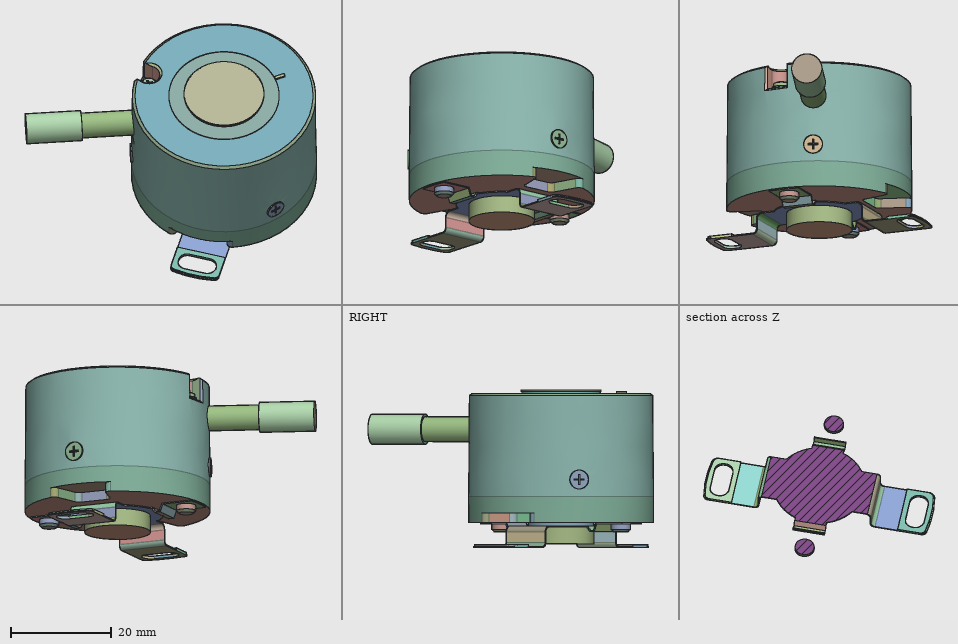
import cadquery as cq
import math

BODY_BOTTOM = 4.95
SEAM_Z = 10.15
SIDE_SCREW_Z = 13.55
CABLE_Z = 23.6
BODY_TOP = 30.7
TOTAL_HEIGHT = 31.4

BASE_RADIUS = 18.45
TOP_RADIUS = 18.3
RIM_BEVEL_WIDTH = 0.55
RIM_BEVEL_HEIGHT = 0.4
RECESS_RADIUS = 11.0
RECESS_DEPTH = 0.1
SHAFT_RADIUS = 8
SHAFT_NECK_RADIUS = 7.8
SHAFT_LIP = 0.35
MARK_LENGTH = 2.05
MARK_WIDTH = 0.6
MARK_HEIGHT = 0.35

CABLE_ANGLE = 251.8
CABLE_RADIUS = 2.5
SLEEVE_RADIUS = 3.0
SLEEVE_START = 28.5
CABLE_END = 39.55

SIDE_SCREW_ANGLES = (11.2, 139.5, 251.6)
SIDE_SCREW_RADIUS = 1.9
SIDE_SCREW_FACE = 18.7
SIDE_SCREW_DEPTH = 1.7
SIDE_CROSS_LENGTH = 2.0
CROSS_WIDTH = 0.3
CROSS_DEPTH = 0.3

POCKET_ANGLE = 227.2
POCKET_DISTANCE = 15.95
POCKET_RADIUS = 2.15
POCKET_BEVEL = 0.45
POCKET_FLOOR = 26.0
WASHER_RADIUS = 1.9
WASHER_HEIGHT = 0.35
CLAMP_HEAD_RADIUS = 1.6
CLAMP_HEAD_SIDE = 0.75
CLAMP_DOME_RISE = 0.45
CLAMP_CROSS_LENGTH = 1.6

FOOT_ANGLES = (142, 322)
TAB_ANGLES = (52, 232)
SHEET = 0.2
FOOT_HALF_WIDTH = 4.95
WALL_FACE = 11.5
PLATE_TOP = 4.35
PLATE_RADIUS = 9.1
TOP_BEND = 1.25
FOOT_BEND = 1.0
FOOT_END = 23.0
FOOT_CORNER = 0.95
EAR_START = 16.85
EAR_HEIGHT = 0.55
EAR_INSET = 0.3
EAR_SLOT_START = 17.95
EAR_SLOT_END = 21.7
EAR_SLOT_WIDTH = 7.75
EAR_SLOT_CORNER = 1.75
TAB_END = 18.1
TAB_HALF_WIDTH = 3.2
BEAD_INNER = 9.2
BEAD_FLOOR_INNER = 10.0
BEAD_FLOOR_OUTER = 10.65
BEAD_OUTER = 11.3
BEAD_BOTTOM = 3.2
TAB_SCREW_DISTANCE = 15.1
TAB_SCREW_RADIUS = 1.95
TAB_SCREW_BOTTOM = 3.15
TAB_SCREW_BEVEL = 0.5
HUB_RADIUS = 6.55
HUB_BOTTOM = 0.75

NOTCH_BACK = 10.8
NOTCH_BACK_HALF_WIDTH = 3.65
NOTCH_TAPER = 15.4
NOTCH_HEIGHT = 1.95
NOTCH_CORNER = 1.2
NOTCH_LIP = 1.0


def turned(shape, angle):
    """Rotate a shape built along +X to its place around the main axis."""
    return shape.rotate((0, 0, 0), (0, 0, 1), angle)


def disc(radius, bottom, top):
    return cq.Workplane("XY").workplane(offset=bottom).circle(radius).extrude(top - bottom)


def block(x_start, x_end, width, bottom, top):
    """Box along +X, centred on the X axis."""
    return cq.Workplane("XY").box(
        x_end - x_start, width, top - bottom, centered=(False, True, False)
    ).translate((x_start, 0, bottom))


def radial_rod(radius, start, end, height):
    """Cylinder along +X at a given height."""
    return cq.Workplane("YZ").workplane(offset=start).center(0, height).circle(radius).extrude(end - start)


def housing():
    outline = [
        (0, BODY_BOTTOM),
        (BASE_RADIUS, BODY_BOTTOM),
        (BASE_RADIUS, SEAM_Z),
        (TOP_RADIUS, BODY_TOP - RIM_BEVEL_HEIGHT),
        (TOP_RADIUS - RIM_BEVEL_WIDTH, BODY_TOP),
        (0, BODY_TOP),
    ]
    return cq.Workplane("XZ").polyline(outline).close().revolve(360, (0, 0), (0, 1))


def shaft_end():
    lip_bottom = TOTAL_HEIGHT - SHAFT_LIP
    neck = disc(SHAFT_NECK_RADIUS, BODY_TOP - RECESS_DEPTH, lip_bottom)
    return neck.union(disc(SHAFT_RADIUS, lip_bottom, TOTAL_HEIGHT))


def index_mark():
    mark_end = RECESS_RADIUS + MARK_LENGTH
    mark = block(RECESS_RADIUS, mark_end, MARK_WIDTH, BODY_TOP - RECESS_DEPTH, BODY_TOP + MARK_HEIGHT)
    return turned(mark, 90)


def notch():
    """Tapered pocket with rounded inner corners and flared lips, along +X."""
    bottom = BODY_BOTTOM
    top = BODY_BOTTOM + NOTCH_HEIGHT
    slope = math.tan(math.radians(NOTCH_TAPER))

    def half_width(radius):
        return NOTCH_BACK_HALF_WIDTH + slope * (radius - NOTCH_BACK)

    end = BASE_RADIUS + NOTCH_LIP
    wedge = (
        cq.Workplane("XY")
        .workplane(offset=bottom)
        .moveTo(NOTCH_BACK, -half_width(NOTCH_BACK))
        .lineTo(end, -half_width(end))
        .lineTo(end, half_width(end))
        .lineTo(NOTCH_BACK, half_width(NOTCH_BACK))
        .close()
        .extrude(top - bottom)
        .edges("|Z and <X")
        .fillet(NOTCH_CORNER)
    )
    remaining = disc(BASE_RADIUS, bottom, top).cut(wedge)
    lip_start = NOTCH_BACK + 2 * NOTCH_CORNER
    lips = cq.selectors.BoxSelector((lip_start, -BASE_RADIUS, bottom), (end, BASE_RADIUS, top))
    remaining = remaining.edges("|Z").edges(lips).fillet(NOTCH_LIP)
    return disc(BASE_RADIUS, bottom, top).cut(remaining)


def screw_pocket():
    """Slot open to the rim, bevelled along its top edge and its mouth, along +X."""
    outside = BASE_RADIUS + POCKET_BEVEL
    width = 2 * POCKET_RADIUS
    height = BODY_TOP - POCKET_FLOOR
    slot = disc(POCKET_RADIUS, POCKET_FLOOR, BODY_TOP).translate((POCKET_DISTANCE, 0, 0))
    slot = slot.union(block(POCKET_DISTANCE, outside, width, POCKET_FLOOR, BODY_TOP))
    top_bevel = (
        cq.Workplane("XY")
        .workplane(offset=BODY_TOP)
        .center(POCKET_DISTANCE, 0)
        .circle(POCKET_RADIUS + POCKET_BEVEL)
        .extrude(-POCKET_BEVEL, taper=45)
    )
    mouth_radius = math.sqrt(TOP_RADIUS**2 - POCKET_RADIUS**2)
    mouth = (
        cq.Workplane("YZ")
        .workplane(offset=mouth_radius)
        .center(0, POCKET_FLOOR + height / 2)
        .rect(width + 2 * POCKET_BEVEL, height + 2 * POCKET_BEVEL)
        .extrude(-POCKET_BEVEL, taper=45)
    )
    mouth_front = block(
        mouth_radius, outside, width + 2 * POCKET_BEVEL, POCKET_FLOOR - POCKET_BEVEL, BODY_TOP
    )
    return slot.union(top_bevel).union(mouth).union(mouth_front)


def clamp_screw():
    """Washer and domed cross-head screw standing on the pocket floor, along +X."""
    head_bottom = POCKET_FLOOR + WASHER_HEIGHT
    dome_bottom = head_bottom + CLAMP_HEAD_SIDE
    dome_top = dome_bottom + CLAMP_DOME_RISE
    half_head = CLAMP_HEAD_RADIUS / 2
    sphere_radius = (CLAMP_HEAD_RADIUS**2 + CLAMP_DOME_RISE**2) / (2 * CLAMP_DOME_RISE)
    half_rise = math.sqrt(sphere_radius**2 - half_head**2) - (sphere_radius - CLAMP_DOME_RISE)
    head = (
        cq.Workplane("XZ")
        .moveTo(0, head_bottom)
        .lineTo(CLAMP_HEAD_RADIUS, head_bottom)
        .lineTo(CLAMP_HEAD_RADIUS, dome_bottom)
        .threePointArc((half_head, dome_bottom + half_rise), (0, dome_top))
        .close()
        .revolve(360, (0, 0), (0, 1))
    )
    for angle in (0, 90):
        bar = cq.Workplane("XY").box(CLAMP_CROSS_LENGTH, CROSS_WIDTH, 2 * CROSS_DEPTH)
        bar = bar.translate((0, 0, dome_top - CROSS_DEPTH / 2))
        head = head.cut(turned(bar, angle - POCKET_ANGLE))
    screw = disc(WASHER_RADIUS, POCKET_FLOOR, head_bottom).union(head)
    return screw.translate((POCKET_DISTANCE, 0, 0))


def side_screw():
    """Flat cross-head screw facing +X."""
    screw = radial_rod(SIDE_SCREW_RADIUS, SIDE_SCREW_FACE - SIDE_SCREW_DEPTH, SIDE_SCREW_FACE, SIDE_SCREW_Z)
    for width, height in ((SIDE_CROSS_LENGTH, CROSS_WIDTH), (CROSS_WIDTH, SIDE_CROSS_LENGTH)):
        bar = cq.Workplane("XY").box(2 * CROSS_DEPTH, width, height)
        screw = screw.cut(bar.translate((SIDE_SCREW_FACE, 0, SIDE_SCREW_Z)))
    return screw


def cable():
    cord = radial_rod(CABLE_RADIUS, 0, SLEEVE_START, CABLE_Z)
    return cord.union(radial_rod(SLEEVE_RADIUS, SLEEVE_START, CABLE_END, CABLE_Z))


def foot_outline(start, end, top):
    """Strip along +X, as wide as a foot, with an arc about the main axis as its outer end."""
    strip = block(start, end, 2 * FOOT_HALF_WIDTH, 0, top).intersect(disc(end, 0, top))
    outer_half = cq.selectors.BoxSelector((EAR_SLOT_START, -FOOT_END, 0), (FOOT_END, FOOT_END, top))
    return strip.edges("|Z").edges(outer_half).fillet(FOOT_CORNER)


def bracket_foot():
    """Z-bent strap along +X ending in a doubled ear with a slotted hole."""
    inner_face = WALL_FACE - SHEET
    foot_start = inner_face + FOOT_BEND
    lean = math.sqrt(0.5)
    top_inner = TOP_BEND - SHEET
    foot_inner = FOOT_BEND - SHEET
    top_centre = (WALL_FACE - TOP_BEND, PLATE_TOP - TOP_BEND)
    foot_centre = (inner_face + FOOT_BEND, FOOT_BEND)

    def top_arc(radius):
        return (top_centre[0] + lean * radius, top_centre[1] + lean * radius)

    def foot_arc(radius):
        return (foot_centre[0] - lean * radius, foot_centre[1] - lean * radius)

    strap = (
        cq.Workplane("XZ")
        .moveTo(HUB_RADIUS, PLATE_TOP)
        .lineTo(top_centre[0], PLATE_TOP)
        .threePointArc(top_arc(TOP_BEND), (WALL_FACE, top_centre[1]))
        .lineTo(WALL_FACE, FOOT_BEND)
        .threePointArc(foot_arc(foot_inner), (foot_start, SHEET))
        .lineTo(FOOT_END, SHEET)
        .lineTo(FOOT_END, 0)
        .lineTo(foot_start, 0)
        .threePointArc(foot_arc(FOOT_BEND), (inner_face, FOOT_BEND))
        .lineTo(inner_face, top_centre[1])
        .threePointArc(top_arc(top_inner), (top_centre[0], PLATE_TOP - SHEET))
        .lineTo(HUB_RADIUS, PLATE_TOP - SHEET)
        .close()
        .extrude(FOOT_HALF_WIDTH, both=True)
    )
    end_shape = foot_outline(0, FOOT_END, PLATE_TOP)
    ear = foot_outline(EAR_START, FOOT_END - EAR_INSET, EAR_HEIGHT)
    slot = block(EAR_SLOT_START, EAR_SLOT_END, EAR_SLOT_WIDTH, 0, EAR_HEIGHT)
    slot = slot.edges("|Z").fillet(EAR_SLOT_CORNER)
    return strap.intersect(end_shape).union(ear).cut(slot)


def bracket_tab():
    """Arm along +X with a bead bent down across it, lying against the housing and carrying a screw."""
    top_line = [
        (HUB_RADIUS, PLATE_TOP),
        (BEAD_INNER, PLATE_TOP),
        (BEAD_FLOOR_INNER, BEAD_BOTTOM + SHEET),
        (BEAD_FLOOR_OUTER, BEAD_BOTTOM + SHEET),
        (BEAD_OUTER, BODY_BOTTOM),
        (TAB_END, BODY_BOTTOM),
    ]
    bottom_line = [
        (TAB_END, BODY_BOTTOM - SHEET),
        (BEAD_OUTER + SHEET, BODY_BOTTOM - SHEET),
        (BEAD_FLOOR_OUTER + SHEET, BEAD_BOTTOM),
        (BEAD_FLOOR_INNER - SHEET, BEAD_BOTTOM),
        (BEAD_INNER - SHEET, PLATE_TOP - SHEET),
        (HUB_RADIUS, PLATE_TOP - SHEET),
    ]
    arm = (
        cq.Workplane("XZ")
        .polyline(top_line + bottom_line)
        .close()
        .extrude(TAB_HALF_WIDTH, both=True)
        .intersect(disc(TAB_END, 0, BODY_BOTTOM))
    )
    screw = disc(TAB_SCREW_RADIUS, TAB_SCREW_BOTTOM, BODY_BOTTOM).faces("<Z").chamfer(TAB_SCREW_BEVEL)
    return arm.union(screw.translate((TAB_SCREW_DISTANCE, 0, 0)))


body = housing().cut(disc(RECESS_RADIUS, BODY_TOP - RECESS_DEPTH, BODY_TOP))
for foot_angle in FOOT_ANGLES:
    body = body.cut(turned(notch(), foot_angle))
body = body.cut(turned(screw_pocket(), POCKET_ANGLE))

result = body.union(shaft_end()).union(index_mark())
result = result.union(turned(clamp_screw(), POCKET_ANGLE))
result = result.union(turned(cable(), CABLE_ANGLE))
for screw_angle in SIDE_SCREW_ANGLES:
    result = result.union(turned(side_screw(), screw_angle))

result = result.union(disc(HUB_RADIUS, HUB_BOTTOM, BODY_BOTTOM))
result = result.union(disc(PLATE_RADIUS, PLATE_TOP - SHEET, PLATE_TOP))
for foot_angle in FOOT_ANGLES:
    result = result.union(turned(bracket_foot(), foot_angle))
for tab_angle in TAB_ANGLES:
    result = result.union(turned(bracket_tab(), tab_angle))